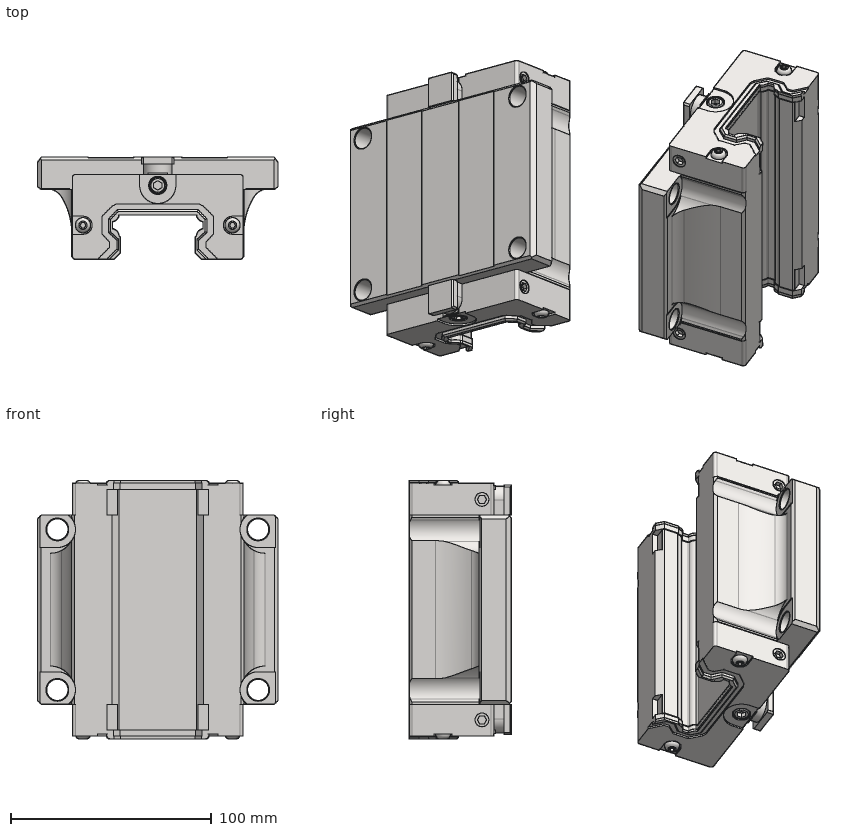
import cadquery as cq
import math


width = 120.0
height = 51.1
length = 129.0

block_length = 94.4
block_half_width = 43.0
flange_bottom = 35.0
flange_corner = 1.9
flange_top_bevel_x = 1.9
flange_top_bevel_y = 2.7
flange_bottom_bevel_x = 1.7
flange_bottom_bevel_y = 1.3
flange_end_bevel = 1.4
foot_chamfer = 1.4

recess_inner_x = 12.0
recess_outer_x = 34.7
recess_depth = 0.4

web_low_y = 13.3
web_knee = (48.0, 31.1)
web_flare_x = 53.5

hole_x = 50.0
hole_z = 40.0
hole_diameter = 10.6
hole_chamfer = 0.4
spot_radius = 9.0
spot_depth = 0.4
relief_radius = 11.9
relief_wedge_start = (42.2, 44.4)
relief_wedge_z = 46.0

cap_half_width = 42.6
cap_height = 42.3
cap_end_z = 63.1
cap_edge_radius = 1.5
lip_length = 4.5
channel_clearance = 0.6
cap_lip_clearance = 0.1
pocket_inner_x = 20.1
pocket_outer_x = 25.3
pocket_depth = 2.8

seal_groove_depth = 1.0
seal_chamfer = 0.9

screw_x = 37.3
screw_y = 17.0
screw_slot_diameter = 9.0
screw_slot_depth = 1.0
screw_head_diameter = 7.6
screw_crown_diameter = 4.1
screw_shoulder_diameter = 6.7
screw_shoulder_drop = 0.9
screw_socket = 2.6
screw_socket_depth = 1.5

plug_diameter = 6.8
end_plug_base_diameter = 8.0
end_plug_bore = 9.0
end_plug_gap_depth = 0.8
plug_recess = 0.4
plug_socket = 4.0
plug_socket_depth = 2.6
end_plug_y = 36.9
end_pad_radius = 9.0
end_pad_depth = 0.9
side_plug_y = 36.4
side_plug_z = 55.0

stub_z = 54.6
stub_diameter = 14.0
stub_plate_y = 47.5
stub_plate_half_width = 8.1
stub_plate_end_z = 62.2
stub_plate_corner = 0.9
stub_plate_bevel = 0.6
stub_tab_half_width = 4.9
stub_tab_height = 0.8
stub_tab_end_z = 61.8

below = 3.9
half_block = block_length / 2
lip_start_z = length / 2 - lip_length
groove_floor_z = cap_end_z - seal_groove_depth

seal_outer_edge = [
    (25.5 + below, -below),
    (20.4, 5.2),
    (20.4, 9.5),
    (24.5, 13.4),
    (24.5, 20.3),
    (20.1, 24.8),
]
seal_groove_edge = [
    (30.0 + below, -below),
    (24.1, 5.9),
    (24.1, 8.8),
    (27.9, 12.8),
    (27.9, 21.4),
    (22.7, 26.6),
    (20.6, 27.6),
]


def box(x_range, y_range, z_range):
    (x0, x1), (y0, y1), (z0, z1) = x_range, y_range, z_range
    return cq.Workplane("XY").box(x1 - x0, y1 - y0, z1 - z0, centered=False).translate((x0, y0, z0))


def cylinder_y(x, z, radius, y0, y1):
    return cq.Workplane("XZ", origin=(x, y0, z)).circle(radius).extrude(y0 - y1)


def mirrored_x(shape):
    return shape.union(shape.mirror("YZ"))


def mirrored_z(shape):
    return shape.union(shape.mirror("XY"))


def symmetric_outline(right_side):
    """Closed outline from points listed for +X, mirrored about X = 0."""
    left_side = [(-x, y) for x, y in reversed(right_side)]
    return cq.Workplane("XY").polyline(right_side + left_side).close()


def prism(outline, z0, z1):
    return outline.extrude(z1 - z0).translate((0, 0, z0))


def hexagon(across_flats):
    return across_flats / math.cos(math.pi / 6)


def channel_outline():
    """Rail opening: narrow throat at the bottom and rounded lands above and below the waist."""
    throat_x, waist_x = 18.6, 22.5
    lower_land_x, upper_land_x = 19.2, 19.4
    throat_top, throat_bottom = 11.1, 3.2
    lower_land, upper_land = 11.9, 21.4
    waist_bottom, waist_top = 15.4, 18.7
    ceiling = 22.0
    lower_mid_x, lower_mid_y = 20.3, 14.2
    upper_mid_x, upper_mid_y = 20.5, 19.7
    foot_x = throat_x + throat_bottom + below

    def half(side):
        """Named corners and arc midpoints for one side, +1 or -1."""
        return {
            "foot": (side * foot_x, -below),
            "throat_low": (side * throat_x, throat_bottom),
            "throat_high": (side * throat_x, throat_top),
            "lower_land": (side * lower_land_x, lower_land),
            "lower_mid": (side * lower_mid_x, lower_mid_y),
            "waist_low": (side * waist_x, waist_bottom),
            "waist_high": (side * waist_x, waist_top),
            "upper_mid": (side * upper_mid_x, upper_mid_y),
            "upper_land": (side * upper_land_x, upper_land),
            "ceiling": (side * upper_land_x, ceiling),
        }

    right, left = half(1), half(-1)
    return (
        cq.Workplane("XY")
        .moveTo(*right["foot"])
        .lineTo(*right["throat_low"])
        .lineTo(*right["throat_high"])
        .lineTo(*right["lower_land"])
        .threePointArc(right["lower_mid"], right["waist_low"])
        .lineTo(*right["waist_high"])
        .threePointArc(right["upper_mid"], right["upper_land"])
        .lineTo(*right["ceiling"])
        .lineTo(*left["ceiling"])
        .lineTo(*left["upper_land"])
        .threePointArc(left["upper_mid"], left["waist_high"])
        .lineTo(*left["waist_low"])
        .threePointArc(left["lower_mid"], left["lower_land"])
        .lineTo(*left["throat_high"])
        .lineTo(*left["throat_low"])
        .lineTo(*left["foot"])
        .close()
    )


def make_flange():
    profile = symmetric_outline([
        (width / 2 - flange_bottom_bevel_x, flange_bottom),
        (width / 2, flange_bottom + flange_bottom_bevel_y),
        (width / 2, height - flange_top_bevel_y),
        (width / 2 - flange_top_bevel_x, height),
    ])
    plan = (
        cq.Workplane("XZ")
        .rect(width, block_length)
        .extrude(-height)
        .edges("|Y")
        .chamfer(flange_corner)
    )
    flange = prism(profile, -half_block, half_block).intersect(plan)
    side = cq.Workplane("YZ").rect(2 * height, block_length).extrude(width / 2, both=True)
    side = side.faces(">Y").edges("|X").chamfer(flange_end_bevel)
    return flange.intersect(side)


def make_web():
    """Concave support from the block side up to the flange, running the block length."""
    rise = web_knee[1] - web_low_y
    run = web_knee[0] - block_half_width
    radius = (rise**2 + run**2) / (2 * run)
    half_angle = math.asin(rise / radius) / 2
    arc_mid = (
        block_half_width + radius * (1 - math.cos(half_angle)),
        web_low_y + radius * math.sin(half_angle),
    )
    web = (
        cq.Workplane("XY")
        .moveTo(0, web_low_y)
        .lineTo(block_half_width, web_low_y)
        .threePointArc(arc_mid, web_knee)
        .tangentArcPoint((web_flare_x, flange_bottom), relative=False)
        .lineTo(0, flange_bottom)
        .close()
    )
    return mirrored_x(prism(web, -half_block, half_block))


def mounting_hole(bottom):
    """Through hole with a small chamfer at both mouths."""
    radius = hole_diameter / 2
    mouth = radius + hole_chamfer
    return (
        cq.Workplane("XY")
        .polyline([
            (0, bottom),
            (mouth, bottom),
            (radius, bottom + hole_chamfer),
            (radius, height - hole_chamfer),
            (mouth, height),
            (0, height),
        ])
        .close()
        .revolve(360, (0, 0, 0), (0, 1, 0))
        .translate((hole_x, 0, hole_z))
    )


def make_block():
    """Steel block with its flange, webs and mounting holes."""
    core = symmetric_outline([
        (block_half_width - foot_chamfer, 0),
        (block_half_width, foot_chamfer),
        (block_half_width, flange_bottom),
    ])
    block = prism(core, -half_block, half_block).union(make_web())

    relief = cylinder_y(web_flare_x, hole_z, relief_radius, -below, flange_bottom)
    end_gap = (
        cq.Workplane("XZ", origin=(0, -below, 0))
        .polyline([
            relief_wedge_start,
            (block_half_width, relief_wedge_z),
            (block_half_width, half_block),
            (width, half_block),
            (width, hole_z),
        ])
        .close()
        .extrude(-below - flange_bottom)
    )
    block = block.cut(mirrored_z(mirrored_x(relief.union(end_gap))))

    block = block.union(make_flange())
    spot_top = flange_bottom + spot_depth
    spot = cylinder_y(hole_x, hole_z, spot_radius, -below, spot_top)
    spot = spot.union(box((hole_x, width), (-below, spot_top), (hole_z - spot_radius, half_block)))
    hole = mounting_hole(spot_top)
    block = block.cut(mirrored_z(mirrored_x(spot.union(hole))))

    recess = box(
        (recess_inner_x, recess_outer_x), (height - recess_depth, height), (-half_block, half_block)
    )
    return block.cut(mirrored_x(recess))


def make_seal():
    """Raised lip around the rail opening on the +Z end."""
    lip = prism(symmetric_outline(seal_outer_edge), groove_floor_z, length / 2)
    lip = lip.faces(">Z").edges().chamfer(seal_chamfer)
    return lip.cut(box((-width, width), (-2 * below, 0), (0, length)))


def seal_groove():
    """Shallow step in the cap face that surrounds the seal lip."""
    return prism(symmetric_outline(seal_groove_edge), groove_floor_z, length)


def cap_screws():
    """Pair of button-head socket screws."""
    floor_z = cap_end_z - screw_slot_depth
    head_radius = screw_head_diameter / 2
    crown_radius = screw_crown_diameter / 2
    crown_z = length / 2
    dome_mid = (screw_shoulder_diameter / 2, crown_z - screw_shoulder_drop)
    head = (
        cq.Workplane("XZ")
        .moveTo(0, floor_z)
        .lineTo(head_radius, floor_z)
        .threePointArc(dome_mid, (crown_radius, crown_z))
        .lineTo(0, crown_z)
        .close()
        .revolve(360, (0, 0, 0), (0, 1, 0))
    )
    socket = (
        cq.Workplane("XY", origin=(0, 0, crown_z))
        .polygon(6, hexagon(screw_socket))
        .extrude(-screw_socket_depth)
    )
    return mirrored_x(head.cut(socket).translate((screw_x, screw_y, 0)))


def screw_slots():
    """Round-ended slots that open at the cap sides."""
    radius = screw_slot_diameter / 2
    z_range = (cap_end_z - screw_slot_depth, cap_end_z)
    slot = box((screw_x, width), (screw_y - radius, screw_y + radius), z_range)
    end = cq.Workplane("XY").circle(radius).extrude(screw_slot_depth)
    return mirrored_x(slot.union(end.translate((screw_x, screw_y, z_range[0]))))


def end_pad_and_plug():
    """Shallow U-shaped pad around a tapered socket plug ringed by a narrow gap."""
    pad_z = cap_end_z - end_pad_depth
    pad = cq.Workplane("XY", origin=(0, end_plug_y, pad_z)).circle(end_pad_radius).extrude(end_pad_depth)
    pad = pad.union(
        box((-end_pad_radius, end_pad_radius), (end_plug_y, cap_height), (pad_z, cap_end_z))
    )
    gap = (
        cq.Workplane("XZ")
        .polyline([
            (plug_diameter / 2, 0),
            (end_plug_bore / 2, 0),
            (end_plug_bore / 2, -end_plug_gap_depth),
            (end_plug_base_diameter / 2, -end_plug_gap_depth),
        ])
        .close()
        .revolve(360, (0, 0, 0), (0, 1, 0))
        .translate((0, end_plug_y, pad_z))
    )
    face = cq.Workplane("XY", origin=(0, end_plug_y, pad_z))
    socket = face.polygon(6, hexagon(plug_socket)).extrude(-plug_socket_depth)
    socket = socket.rotate((0, end_plug_y, 0), (0, end_plug_y, 1), 30)
    return pad.union(gap).union(socket)


def side_plugs():
    face = cq.Workplane("YZ", origin=(cap_half_width, side_plug_y, side_plug_z))
    plug = face.circle(plug_diameter / 2).extrude(-plug_recess)
    socket = face.polygon(6, hexagon(plug_socket)).extrude(-plug_socket_depth)
    return mirrored_x(plug.union(socket))


def make_stub():
    """Rounded neck behind the cap, topped by a plate level with the mounting face."""
    radius = stub_diameter / 2
    neck = cylinder_y(0, stub_z, radius, cap_height, stub_plate_y)
    neck = neck.union(box((-radius, radius), (cap_height, stub_plate_y), (half_block, stub_z)))
    plate = symmetric_outline([
        (stub_plate_half_width, stub_plate_y),
        (stub_plate_half_width, height - stub_plate_bevel),
        (stub_plate_half_width - stub_plate_bevel, height),
    ])
    plate = prism(plate, half_block, stub_plate_end_z)
    plate_plan = (
        cq.Workplane("XZ")
        .rect(2 * stub_plate_half_width, 2 * stub_plate_end_z)
        .extrude(-height)
        .edges("|Y")
        .chamfer(stub_plate_corner)
    )
    tab = box(
        (-stub_tab_half_width, stub_tab_half_width),
        (cap_height - end_pad_depth, cap_height + stub_tab_height),
        (lip_start_z, stub_tab_end_z),
    )
    return neck.union(plate.intersect(plate_plan)).union(tab)


def make_cap():
    """Cap on the +Z end of the block, with its seal, screws and plugs."""
    cap = box((-cap_half_width, cap_half_width), (0, cap_height), (half_block, cap_end_z))
    cap = cap.edges("|Z").fillet(cap_edge_radius)
    pocket = box((pocket_inner_x, pocket_outer_x), (-below, pocket_depth), (half_block, lip_start_z))
    cap = cap.cut(seal_groove()).cut(mirrored_x(pocket))
    cap = cap.cut(screw_slots()).cut(end_pad_and_plug()).cut(side_plugs())
    return cap.union(make_seal()).union(cap_screws()).union(make_stub())


def rail_channel():
    """Opening along the whole length, tightest at the seals and widest inside."""
    lips = prism(channel_outline(), -length, length)
    caps = prism(channel_outline().offset2D(cap_lip_clearance), -cap_end_z, cap_end_z)
    main = prism(channel_outline().offset2D(channel_clearance), -lip_start_z, lip_start_z)
    return lips.union(caps).union(main)


result = make_block().union(mirrored_z(make_cap())).cut(rail_channel())